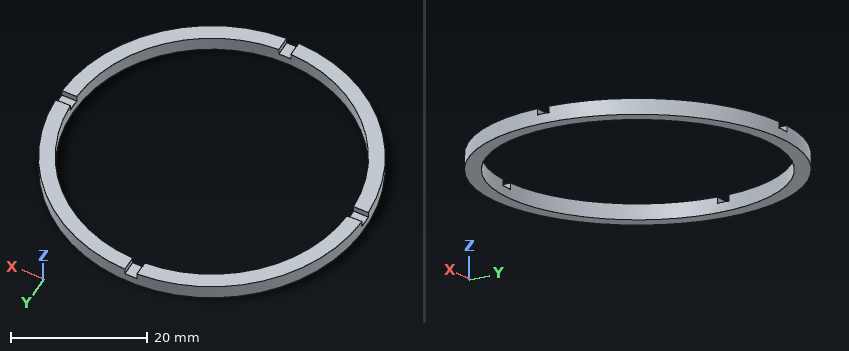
import cadquery as cq

outer_diameter = 51.0
inner_diameter = 46.0
height = 2.5

notch_width = 2.0
notch_depth = 1.0


def make_ring():
    """Plain ring standing on the XY plane, centred on the Z axis."""
    return (
        cq.Workplane("XY")
        .circle(outer_diameter / 2)
        .circle(inner_diameter / 2)
        .extrude(height)
    )


def make_notch_bar(length_x, length_y):
    """Bar spanning the ring, reaching from the notch floor to the top face."""
    return (
        cq.Workplane("XY")
        .workplane(offset=height - notch_depth)
        .rect(length_x, length_y)
        .extrude(notch_depth)
    )


notches_on_x_axis = make_notch_bar(outer_diameter, notch_width)
notches_on_y_axis = make_notch_bar(notch_width, outer_diameter)

result = make_ring().cut(notches_on_x_axis).cut(notches_on_y_axis)